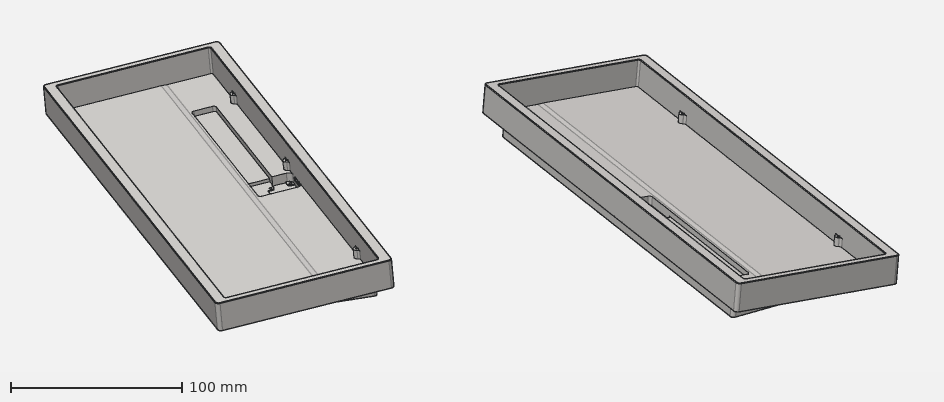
import cadquery as cq
import math

TILT_ANGLE = 5.0

TRAY_LENGTH = 295.7
TRAY_WIDTH = 110.3
TRAY_HEIGHT = 19.0
TRAY_CORNER_RADIUS = 2.5
EDGE_CHAMFER = 0.45
TRAY_BACK = TRAY_WIDTH / 2
TRAY_FRONT = -TRAY_BACK

SIDE_WALL = 4.7
END_WALL = 7.0
CAVITY_CORNER_RADIUS = 1.2
FRONT_FLOOR = 1.5
REAR_FLOOR = 1.2
RAMP_TOP_Y = 16.0
RAMP_RUN = 3.5
CAVITY_LENGTH = TRAY_LENGTH - 2 * SIDE_WALL
CAVITY_BACK = TRAY_BACK - END_WALL
CAVITY_FRONT = TRAY_FRONT + END_WALL

FOOT_LENGTH = 268.5
FOOT_BACK_INSET = 6.5
FOOT_FRONT_INSET = 17.0
FOOT_BACK_DEPTH = 10.5
FOOT_FRONT_DEPTH = 1.8
FOOT_CORNER_RADIUS = 2.5
FOOT_BACK = TRAY_BACK - FOOT_BACK_INSET
FOOT_FRONT = TRAY_FRONT + FOOT_FRONT_INSET

BOSS_DIAMETER = 4.7
BOSS_REACH = 2.7
BOSS_BLEND_RADIUS = 1.8
SCREW_HOLE_DIAMETER = 1.63
BOSS_HEIGHT = 5.5
WALL_OVERLAP = 0.5
FRONT_BOSS_X = (-90.5, 90.5)
BACK_BOSS_X = (-104.7, -14.8, 104.7)

POCKET_RIGHT = 9.2
POCKET_FRONT = 21.0
CHANNEL_LENGTH = 115.0
CHANNEL_WIDTH = 15.0
CHANNEL_DEPTH = 3.5
POCKET_DEPTH = 5.5
POCKET_LENGTH = 23.7
POCKET_CORNER_RADIUS = 1.8
BAY_BACK_RADIUS = 3.0
BOARD_LENGTH = 19.0
BOARD_CENTER_X = POCKET_RIGHT - BOARD_LENGTH / 2
CHANNEL_BACK = POCKET_FRONT + CHANNEL_WIDTH

BOARD_RECESS_DEPTH = 0.5
BOARD_RECESS_OFFSET = 10.3
SEAT_DIAMETER = 4.0
BOARD_HOLE_SPACING_X = 13.0
BOARD_HOLE_OFFSET = 12.7
BOARD_HOLE_SPACING_Y = 12.5
BOARD_HOLE_DEPTH = 1.8
BOARD_RECESS_FRONT = POCKET_FRONT + BOARD_RECESS_OFFSET
BOARD_HOLE_FRONT_Y = POCKET_FRONT + BOARD_HOLE_OFFSET

SLOT_LENGTH = 9.0
SLOT_HEIGHT = 2.7
SLOT_Z = -0.5
SLOT_DEPTH = 3.0


def block(x_min, x_max, y_min, y_max, z_min, z_max, corner_radius, corners="|Z"):
    """Box between the given limits with the selected vertical edges rounded."""
    size = (x_max - x_min, y_max - y_min, z_max - z_min)
    box = cq.Workplane("XY").box(*size, centered=False).edges(corners).fillet(corner_radius)
    return box.translate((x_min, y_min, z_min))


def side_prism(points, length):
    """Prism along X, centred on X = 0, from a (Y, Z) outline."""
    return cq.Workplane("YZ").polyline(points).close().extrude(length / 2, both=True)


def post(x, y, z, diameter, height):
    """Upright cylinder standing on the given point."""
    return cq.Workplane("XY", origin=(x, y, z)).circle(diameter / 2).extrude(height)


def make_foot():
    """Wedge foot, deepest at the back; its top is buried in the tray floor."""
    half = FOOT_LENGTH / 2
    foot = block(-half, half, FOOT_FRONT, FOOT_BACK, -FOOT_BACK_DEPTH, REAR_FLOOR, FOOT_CORNER_RADIUS)
    wedge = side_prism(
        [
            (FOOT_FRONT, REAR_FLOOR),
            (FOOT_FRONT, -FOOT_FRONT_DEPTH),
            (FOOT_BACK, -FOOT_BACK_DEPTH),
            (FOOT_BACK, REAR_FLOOR),
        ],
        FOOT_LENGTH,
    )
    return foot.intersect(wedge).faces("<Z").chamfer(EDGE_CHAMFER)


def make_cavity():
    """Open space inside the tray, above the two floors and the ramp."""
    half = CAVITY_LENGTH / 2
    cavity = block(
        -half, half, CAVITY_FRONT, CAVITY_BACK, REAR_FLOOR, TRAY_HEIGHT, CAVITY_CORNER_RADIUS
    )
    front_floor = side_prism(
        [
            (TRAY_FRONT, 0),
            (TRAY_FRONT, FRONT_FLOOR),
            (RAMP_TOP_Y, FRONT_FLOOR),
            (RAMP_TOP_Y + RAMP_RUN, REAR_FLOOR),
            (RAMP_TOP_Y + RAMP_RUN, 0),
        ],
        TRAY_LENGTH,
    )
    return cavity.cut(front_floor)


def make_tray():
    half = TRAY_LENGTH / 2
    tray = block(-half, half, TRAY_FRONT, TRAY_BACK, 0, TRAY_HEIGHT, TRAY_CORNER_RADIUS)
    tray = tray.cut(make_cavity())
    return tray.faces(">Z or <Z").chamfer(EDGE_CHAMFER)


def make_boss():
    """Screw boss at the origin on a wall along X; it points to +Y and blends into the wall."""
    radius = BOSS_DIAMETER / 2
    blend = BOSS_BLEND_RADIUS
    center_y = BOSS_REACH - radius
    blend_x = math.sqrt((radius + blend) ** 2 - (blend - center_y) ** 2)
    share = radius / (radius + blend)
    touch_x = share * blend_x
    touch_y = center_y + share * (blend - center_y)
    outline = (
        cq.Workplane("XY")
        .moveTo(-blend_x, -WALL_OVERLAP)
        .lineTo(-blend_x, 0)
        .radiusArc((-touch_x, touch_y), -blend)
        .threePointArc((0, BOSS_REACH), (touch_x, touch_y))
        .radiusArc((blend_x, 0), -blend)
        .lineTo(blend_x, -WALL_OVERLAP)
        .close()
    )
    hole = post(0, center_y, 0, SCREW_HOLE_DIAMETER, BOSS_HEIGHT)
    return outline.extrude(BOSS_HEIGHT), hole


def add_bosses(body):
    boss, hole = make_boss()
    places = [(x, CAVITY_FRONT, FRONT_FLOOR, 0) for x in FRONT_BOSS_X]
    places += [(x, CAVITY_BACK, REAR_FLOOR, 180) for x in BACK_BOSS_X]
    for x, y, floor, turn in places:
        location = cq.Location(cq.Vector(x, y, floor), cq.Vector(0, 0, 1), turn)
        body = body.union(cq.Workplane(boss.val().moved(location)))
        body = body.cut(cq.Workplane(hole.val().moved(location)))
    return body


def cut_channel_and_pocket(body):
    channel_floor = REAR_FLOOR - CHANNEL_DEPTH
    pocket_floor = REAR_FLOOR - POCKET_DEPTH
    channel = block(
        POCKET_RIGHT - CHANNEL_LENGTH, POCKET_RIGHT, POCKET_FRONT, CHANNEL_BACK,
        channel_floor, REAR_FLOOR, POCKET_CORNER_RADIUS,
    )
    cable_end = block(
        POCKET_RIGHT - POCKET_LENGTH, POCKET_RIGHT, POCKET_FRONT, CHANNEL_BACK,
        pocket_floor, REAR_FLOOR, POCKET_CORNER_RADIUS, "|Z and <Y",
    )
    board_bay = block(
        POCKET_RIGHT - BOARD_LENGTH, POCKET_RIGHT, BOARD_RECESS_FRONT, CAVITY_BACK,
        pocket_floor, REAR_FLOOR, BAY_BACK_RADIUS, "|Z and >Y",
    )
    return body.cut(channel).cut(cable_end).cut(board_bay)


def make_seat(x_side, y_side):
    """Rounded seat around a board hole at the origin, reaching out to the recess corner."""
    size = 2 * SEAT_DIAMETER
    radius = SEAT_DIAMETER / 2
    seat = cq.Workplane("XY").box(size, size, BOARD_RECESS_DEPTH, centered=(True, True, False))
    seat = seat.edges("|Z").fillet(radius)
    shift = size / 2 - radius
    return seat.translate((x_side * shift, y_side * shift, 0))


def cut_board_recess(body):
    pocket_floor = REAR_FLOOR - POCKET_DEPTH
    recess_floor = pocket_floor - BOARD_RECESS_DEPTH
    left = POCKET_RIGHT - BOARD_LENGTH
    recess = cq.Workplane("XY").box(
        BOARD_LENGTH, CAVITY_BACK - BOARD_RECESS_FRONT, BOARD_RECESS_DEPTH, centered=False
    )
    recess = recess.translate((left, BOARD_RECESS_FRONT, recess_floor))
    back_row = BOARD_HOLE_FRONT_Y + BOARD_HOLE_SPACING_Y
    hole_places = []
    for x_side in (-1, 1):
        x = BOARD_CENTER_X + x_side * BOARD_HOLE_SPACING_X / 2
        for y, y_side in ((BOARD_HOLE_FRONT_Y, -1), (back_row, 1)):
            hole_places.append((x, y))
            recess = recess.cut(make_seat(x_side, y_side).translate((x, y, recess_floor)))
    body = body.cut(recess)
    for x, y in hole_places:
        body = body.cut(post(x, y, pocket_floor - BOARD_HOLE_DEPTH, SCREW_HOLE_DIAMETER, BOARD_HOLE_DEPTH))
    return body


def cut_connector_slot(body):
    slot = (
        cq.Workplane("XZ", origin=(BOARD_CENTER_X, FOOT_BACK, SLOT_Z))
        .slot2D(SLOT_LENGTH, SLOT_HEIGHT)
        .extrude(SLOT_DEPTH)
    )
    return body.cut(slot)


body = make_tray().union(make_foot())
body = add_bosses(body)
body = cut_channel_and_pocket(body)
body = cut_board_recess(body)
body = cut_connector_slot(body)
result = body.rotate((0, 0, 0), (1, 0, 0), TILT_ANGLE)